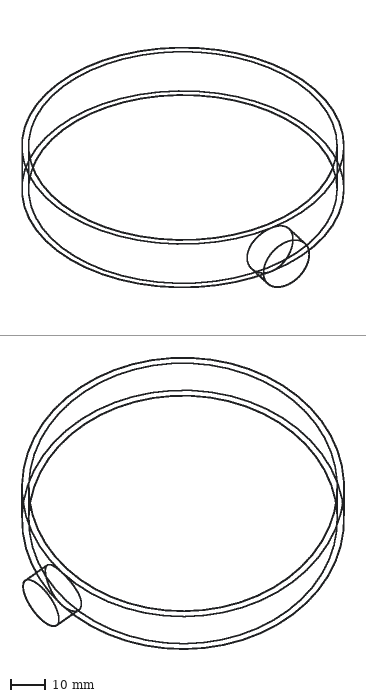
import cadquery as cq

ring_inner_diameter = 90.0
wall_thickness = 2.0
ring_height = 16.0
boss_diameter = ring_height
boss_projection = 8.0

ring_inner_radius = ring_inner_diameter / 2
ring_outer_radius = ring_inner_radius + wall_thickness
boss_end_x = ring_outer_radius + boss_projection


def make_ring_blank():
    """Solid disc with the outer size of the ring, standing on Z = 0."""
    return cq.Workplane("XY").circle(ring_outer_radius).extrude(ring_height)


def make_boss():
    """Round boss along +X at mid height, running from the ring axis to its end face."""
    return (
        cq.Workplane("YZ")
        .center(0, ring_height / 2)
        .circle(boss_diameter / 2)
        .extrude(boss_end_x)
    )


def make_bore():
    """Cylinder that opens the ring and trims the boss flush with the inner wall."""
    return cq.Workplane("XY").circle(ring_inner_radius).extrude(ring_height)


result = make_ring_blank().union(make_boss()).cut(make_bore())